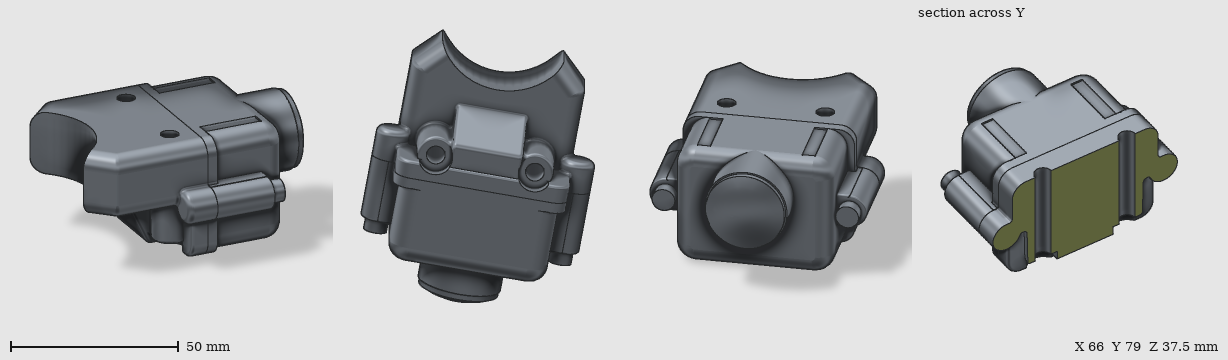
import cadquery as cq
import math


half_width = 26.1
height = 37.5
edge_radius = 5.0
small_radius = 1.0
tolerance = 0.01

overall_half_width = 33.0
lug_radius = 5.05
web_half_height = 5.2
lug_x = overall_half_width - lug_radius
lug_z = height / 2
lug_back_y = 19.1
lug_front_y = -9.3
lug_back_rounding = 0.6
lug_front_rounding = 1.9

rear_flange_depth = 3.15
body_half_width = 23.9
body_back_y = 26.5
body_edge_radius = 6.0
groove_inner_x = 14.0
groove_outer_x = body_half_width - body_edge_radius
groove_depth = 0.55
groove_corner_radius = 0.5

barrel_radius = 12.5
barrel_z = height - barrel_radius
barrel_end_y = 36.55
dome_radius = 12.0
dome_rim_y = 38.3
dome_top_y = 41.45

overall_length = 78.95
front_flange_depth = 5.2
plate_thickness = 20.0
plate_bottom_z = height - plate_thickness
plate_corner_y = -29.8
tip_y = dome_top_y - overall_length
saddle_apex_y = -26.5
tip_x = half_width - (plate_corner_y - tip_y)

hole_x = 15.0
hole_y = -7.35
hole_radius = 2.8
boss_bottom_z = 3.95
boss_top_radius = 5.85
boss_taper = 1.3
head_recess_radius = 5.0

rib_half_width = 10.6
rib_bottom_z = 0.95
rib_top_y = -20.05
rib_bottom_y = -12.2
rib_corner_radius = 2.0
rib_overlap = 0.8

pin_radius = 3.5
pin_end_y = 23.05

SIDES = (-1, 1)


def block(x0, x1, y0, y1, z0, z1):
    return cq.Workplane("XY").box(x1 - x0, y1 - y0, z1 - z0, centered=False).translate((x0, y0, z0))


def rod_along_y(radius, x, z, y0, y1):
    return cq.Workplane("XZ", origin=(x, y0, z)).circle(radius).extrude(y0 - y1)


def flange(y0, y1):
    return block(-half_width, half_width, y0, y1, 0, height).edges("|Y").fillet(edge_radius)


def is_lug_seam(edge, side, y0, y1):
    """True for an edge on the lug's round surface between y0 and y1 that does not lie in the plane y1."""
    box = edge.BoundingBox()
    if box.ymin < y0 - tolerance or box.ymax > y1 + tolerance or box.ymin > y1 - tolerance:
        return False
    points = [edge.positionAt(t) for t in (0, 0.5, 1)]
    return all(
        abs(math.hypot(p.x - side * lug_x, p.z - lug_z) - lug_radius) < tolerance for p in points
    )


def blend_lug(shape, side, y0, y1):
    """Blend the seams where a lug meets the housing."""
    seams = [edge for edge in shape.edges().vals() if is_lug_seam(edge, side, y0, y1)]
    return shape.newObject(seams).fillet(small_radius)


def rear_lug(side):
    lug = rod_along_y(lug_radius, side * lug_x, lug_z, 0, lug_back_y)
    x0, x1 = sorted((side * lug_x, side * groove_outer_x))
    web = block(x0, x1, 0, lug_back_y, lug_z - web_half_height, lug_z + web_half_height)
    return lug.union(web).faces(">Y").edges().fillet(lug_back_rounding)


def groove(side):
    x0, x1 = sorted((side * groove_inner_x, side * groove_outer_x))
    y1 = body_back_y - edge_radius
    channel = block(x0, x1, rear_flange_depth, y1, height - groove_depth, height + groove_depth)
    return channel.faces("<Z").edges("|Y").fillet(groove_corner_radius)


def dome():
    cap_height = dome_top_y - dome_rim_y
    sphere_radius = (dome_radius**2 + cap_height**2) / (2 * cap_height)
    mid_x = dome_radius / 2
    mid_y = dome_top_y - sphere_radius + math.sqrt(sphere_radius**2 - mid_x**2)
    return (
        cq.Workplane("XY", origin=(0, 0, barrel_z))
        .moveTo(0, barrel_end_y)
        .lineTo(dome_radius, barrel_end_y)
        .lineTo(dome_radius, dome_rim_y)
        .threePointArc((mid_x, mid_y), (0, dome_top_y))
        .close()
        .revolve(360, (0, 0, 0), (0, 1, 0))
    )


def make_rear_housing():
    body = block(-body_half_width, body_half_width, 0, body_back_y, 0, height)
    body = body.edges("|Y").fillet(body_edge_radius).faces(">Y").edges().fillet(edge_radius)
    collar = flange(0, rear_flange_depth)
    for side in SIDES:
        short_lug = rod_along_y(lug_radius, side * lug_x, lug_z, 0, rear_flange_depth)
        collar = blend_lug(collar.union(short_lug), side, 0, rear_flange_depth)
    rear = body.union(collar)
    for side in SIDES:
        rear = rear.union(rear_lug(side))
    barrel = rod_along_y(barrel_radius, 0, barrel_z, body_back_y - edge_radius, barrel_end_y)
    rear = rear.union(barrel).union(dome())
    for side in SIDES:
        rear = rear.cut(groove(side))
    return rear


def saddle_plate():
    plate = (
        cq.Workplane("XY", origin=(0, 0, plate_bottom_z))
        .moveTo(-half_width, 0)
        .lineTo(half_width, 0)
        .lineTo(half_width, plate_corner_y)
        .lineTo(tip_x, tip_y)
        .lineTo(-tip_x, tip_y)
        .lineTo(-half_width, plate_corner_y)
        .close()
        .extrude(plate_thickness)
    )
    corner_zone = cq.selectors.BoxSelector(
        (-overall_length, plate_corner_y - 0.8, 0), (overall_length, plate_corner_y + 0.8, height)
    )
    plate = plate.edges("|Z").edges(corner_zone).fillet(small_radius)
    plate = plate.faces("<Z or >Z").edges("not(<Y or >Y)").fillet(edge_radius)
    saddle = (
        cq.Workplane("XY")
        .moveTo(-tip_x, tip_y)
        .threePointArc((0, saddle_apex_y), (tip_x, tip_y))
        .lineTo(tip_x, tip_y - 0.8)
        .lineTo(-tip_x, tip_y - 0.8)
        .close()
        .extrude(height)
    )
    return plate.cut(saddle)


def front_lug(side):
    lug = rod_along_y(lug_radius, side * lug_x, lug_z, lug_front_y, 0)
    return lug.faces("<Y").edges().fillet(lug_front_rounding)


def rib():
    blank = (
        cq.Workplane("YZ", origin=(-rib_half_width, 0, 0))
        .moveTo(0, rib_bottom_z)
        .lineTo(rib_bottom_y, rib_bottom_z)
        .lineTo(rib_top_y, plate_bottom_z)
        .lineTo(rib_top_y, plate_bottom_z + rib_overlap)
        .lineTo(0, plate_bottom_z + rib_overlap)
        .close()
        .extrude(2 * rib_half_width)
    )
    blank = blank.faces("<Z").edges("<Y").fillet(rib_corner_radius)
    outer_edges = [
        edge
        for edge in blank.edges("not |X").vals()
        if edge.Center().y < -0.8 and edge.Center().z < plate_bottom_z - 0.1
    ]
    return blank.newObject(outer_edges).fillet(small_radius)


def boss(side):
    shape = (
        cq.Workplane("XY", origin=(side * hole_x, hole_y, plate_bottom_z))
        .circle(boss_top_radius)
        .extrude(boss_bottom_z - plate_bottom_z, taper=boss_taper)
    )
    return shape.faces("<Z").edges().fillet(small_radius)


def rib_with_bosses():
    """The rib and both bosses, with the upright seams between them blended."""
    shape = rib()
    for side in SIDES:
        shape = shape.union(boss(side))
    seams = [
        edge
        for edge in shape.edges().vals()
        if edge.geomType() == "HYPERBOLA" and edge.Center().y < hole_y
    ]
    return shape.newObject(seams).fillet(small_radius)


def is_rib_foot(edge):
    """True for an edge where the rib meets the underside of the plate."""
    box = edge.BoundingBox()
    in_plate_face = box.zmin > plate_bottom_z - tolerance and box.zmax < plate_bottom_z + tolerance
    beside_rib = abs(edge.Center().x) < rib_half_width + tolerance
    along_rib = box.ymax < -front_flange_depth - tolerance and box.ymin > rib_top_y - small_radius
    return in_plate_face and beside_rib and along_rib


def make_front_housing():
    front = flange(-front_flange_depth, 0).faces("<Y").edges().fillet(small_radius)
    front = front.union(saddle_plate())
    for side in SIDES:
        front = blend_lug(front.union(front_lug(side)), side, lug_front_y, 0)
    front = front.union(rib_with_bosses())
    foot = [edge for edge in front.edges().vals() if is_rib_foot(edge)]
    front = front.newObject(foot).fillet(small_radius)
    for side in SIDES:
        axis = cq.Workplane("XY", origin=(side * hole_x, hole_y, 0))
        front = front.cut(axis.circle(head_recess_radius).extrude(boss_bottom_z))
        front = front.cut(axis.circle(hole_radius).extrude(height))
    return front


def make_pin(side):
    return rod_along_y(pin_radius, side * lug_x, lug_z, lug_back_y, pin_end_y)


rear_housing = make_rear_housing()
front_housing = make_front_housing()
pins = [make_pin(side) for side in SIDES]

result = cq.Compound.makeCompound(
    [rear_housing.val(), front_housing.val(), *[pin.val() for pin in pins]]
)